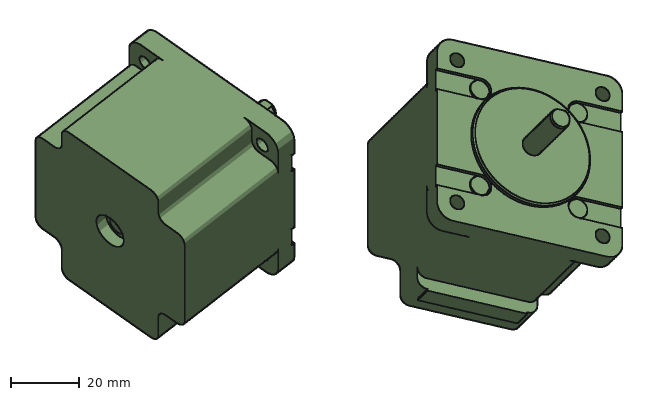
import cadquery as cq


pad_rear = 5.0
cover_front = 11.55
flange_rear = 39.5
flange_front = 46.4
pilot_front = 48.05
shaft_front = 67.1

flange_width = 60.0
half_width = flange_width / 2
flange_corner_radius = 5.0
mount_offset = 23.55
mount_hole_diameter = 4.55

arm_width = 38.9
body_fillet = 3.0

cover_drop = 3.5
pad_width = 32.35
pad_thickness = 0.55
cover_bottom = -half_width - cover_drop

pilot_diameter = 38.1
pilot_chamfer = 0.55

screw_offset = 15.9
slot_width = 6.85
slot_depth = 1.15
screw_head_diameter = 6.05
screw_head_height = 0.55

shaft_diameter = 6.3
shaft_radius = shaft_diameter / 2
shaft_rear = 3.0
rear_recess_diameter = 11.0
rear_recess_depth = 4.0
tip_taper_length = 0.8
tip_taper_height = 0.3
flat_rear = 52.0
flat_height = 2.6


def plane_at(y):
    """XZ plane at the given Y, with its normal toward +Y and its local y along -Z."""
    return cq.Workplane(cq.Plane(origin=(0, y, 0), xDir=(1, 0, 0), normal=(0, 1, 0)))


def block(x_size, y_min, y_max, z_min, z_max):
    """Box centred on X, given by its Y and Z limits."""
    return cq.Workplane("XY").box(x_size, y_max - y_min, z_max - z_min).translate(
        (0, (y_min + y_max) / 2, (z_min + z_max) / 2)
    )


def corner_points(offset):
    """Four points at the corners of a square centred on the axis."""
    return [(x, z) for x in (-offset, offset) for z in (-offset, offset)]


def make_body():
    """Cross-shaped body behind the flange, with a rear cover that reaches lower."""
    horizontal_arm = block(flange_width, 0, flange_rear, -arm_width / 2, arm_width / 2)
    horizontal_arm = horizontal_arm.edges("|Y").fillet(body_fillet)
    vertical_arm = block(arm_width, 0, flange_rear, -half_width, half_width)
    vertical_arm = vertical_arm.edges("|Y").fillet(body_fillet)
    cover = block(arm_width, 0, cover_front, cover_bottom, 0)
    cover = cover.edges("|Y and <Z").fillet(body_fillet)

    reach = arm_width / 2 + 0.7
    inner_corners = cq.selectors.BoxSelector((-reach, 0, -reach), (reach, flange_rear, reach))
    cross = horizontal_arm.union(vertical_arm)
    cross = cross.edges("|Y").edges(inner_corners).fillet(body_fillet)

    pad = block(pad_width, pad_rear, cover_front, cover_bottom - pad_thickness, cover_bottom)
    return cross.union(cover).union(pad)


def make_flange():
    """Square front flange with the pilot boss."""
    flange = block(flange_width, flange_rear, flange_front, -half_width, half_width)
    flange = flange.edges("|Y").fillet(flange_corner_radius)
    pilot = plane_at(flange_front).circle(pilot_diameter / 2).extrude(pilot_front - flange_front)
    pilot = pilot.faces(">Y").chamfer(pilot_chamfer)
    return flange.union(pilot)


def make_mount_holes():
    return (
        plane_at(flange_rear)
        .pushPoints(corner_points(mount_offset))
        .circle(mount_hole_diameter / 2)
        .extrude(flange_front - flange_rear)
    )


def make_screw_slot(side, z):
    """Round-ended slot from a screw out through one X side, with the screw head left standing."""
    slot_floor = flange_front - slot_depth
    run_out = half_width - screw_offset
    screw_seat = plane_at(slot_floor).center(side * screw_offset, -z)
    round_end = screw_seat.circle(slot_width / 2).extrude(slot_depth)
    channel = block(run_out, slot_floor, flange_front, z - slot_width / 2, z + slot_width / 2)
    channel = channel.translate((side * (screw_offset + run_out / 2), 0, 0))
    screw_head = screw_seat.circle(screw_head_diameter / 2).extrude(screw_head_height)
    return round_end.union(channel).cut(screw_head)


def make_housing():
    housing = make_flange().union(make_body())
    housing = housing.cut(make_mount_holes())
    for side in (-1, 1):
        for z in (-screw_offset, screw_offset):
            housing = housing.cut(make_screw_slot(side, z))
    shaft_bore = plane_at(0).circle(shaft_radius).extrude(pilot_front)
    rear_recess = plane_at(0).circle(rear_recess_diameter / 2).extrude(rear_recess_depth)
    return housing.cut(shaft_bore).cut(rear_recess)


def make_shaft():
    """Round shaft, tapered slightly at both tips, with a flat on top of its front end."""
    tip_radius = shaft_radius - tip_taper_height
    half_profile = [
        (0, shaft_rear),
        (tip_radius, shaft_rear),
        (shaft_radius, shaft_rear + tip_taper_length),
        (shaft_radius, shaft_front - tip_taper_length),
        (tip_radius, shaft_front),
        (0, shaft_front),
    ]
    shaft = cq.Workplane("XY").polyline(half_profile).close().revolve(360, (0, 0), (0, 1))
    flat = block(shaft_diameter, flat_rear, shaft_front, flat_height, shaft_radius)
    return shaft.cut(flat)


housing = make_housing()
shaft = make_shaft()
result = cq.Compound.makeCompound([housing.val(), shaft.val()])